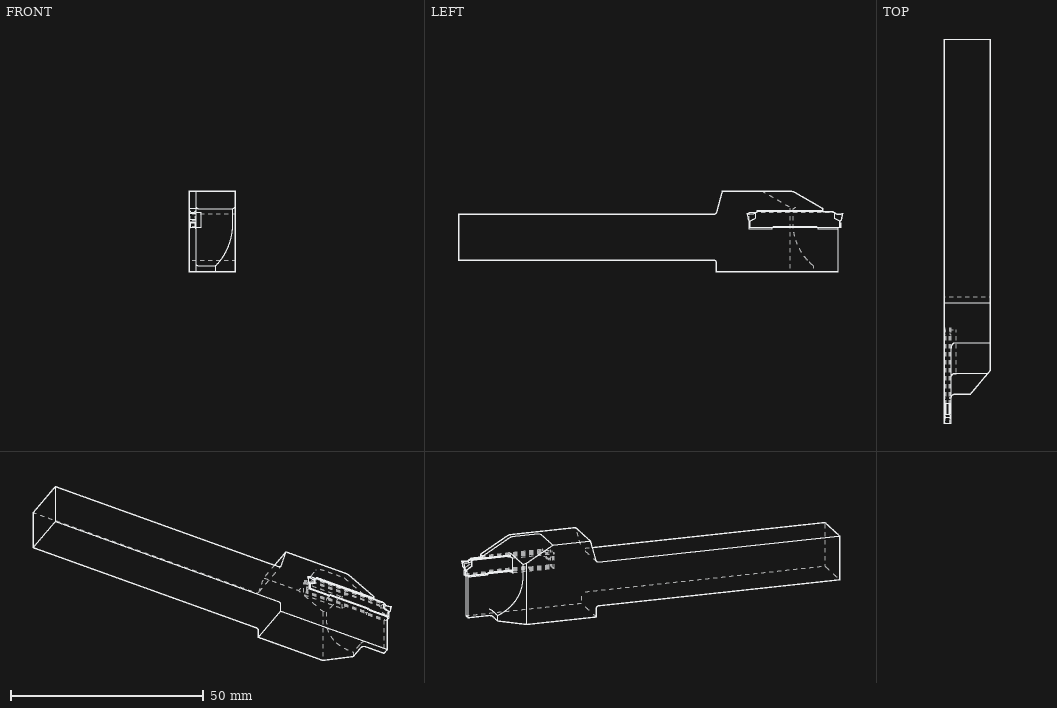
import cadquery as cq
import math


total_length = 100.0
width = 12.0
height = 21.0
shank_height = 12.0
shank_bottom = 3.0
shank_top = shank_bottom + shank_height
head_back = 33.0
head_back_lean = 15.0
head_back_fillet = 0.8
step_fillet = 0.5
blade_thickness = 1.8
blade_front = 1.2
nose_front = 5.2
nose_top = 16.5
nose_slope = 30.0
brow_fillet = 2.4

relief_back = 21.0
relief_wall = 13.0
relief_toe = 7.6
relief_toe_height = 1.5
relief_arc_top = 12.8
relief_fillet = 0.9
corner_cut_start = 13.8
corner_cut_angle = 40.0

insert_length = 24.9
insert_bottom = 11.5
insert_top = 15.7
tip_height = 15.2
chip_drop = 0.15
chip_floor = tip_height - chip_drop
rake_end = 0.6
chip_floor_end = 1.6
shoulder_start = 2.6
upper_clearance = (0.2, 14.3)
lower_clearance = (0.3, 13.6)
neck = 0.8
neck_top = 13.0
neck_bottom = 12.9
foot_front = 0.5
foot_top = 12.7
foot_chamfer = 0.3
arch_start = 6.5
arch_ramp = 0.3
arch_rise = 0.3
cheek_depth = 0.25
cheek_back = 2.2
cheek_middle = 14.0
cheek_bottom = 13.2

rail_bevel = 0.3
groove_depth = 0.2
seat_depth = 3.1
tongue_root = insert_top + rail_bevel
groove_floor = insert_top - groove_depth

pick_reach = 0.05
overrun = 5.0


def prism_along_x(outline, start, end):
    """Extrude a closed (Y, Z) outline from X = start to X = end."""
    return cq.Workplane("YZ", origin=(start, 0, 0)).polyline(outline).close().extrude(end - start)


def prism_along_y(outline, start, end):
    """Extrude a closed (X, Z) outline from Y = start to Y = end."""
    return cq.Workplane("XZ", origin=(0, start, 0)).polyline(outline).close().extrude(start - end)


def edge_at(y, z):
    """Selector box around the edge that runs along X at the given Y and Z."""
    return cq.selectors.BoxSelector(
        (-overrun, y - pick_reach, z - pick_reach), (width + overrun, y + pick_reach, z + pick_reach)
    )


def holder_blank():
    head_top_back = head_back - (height - shank_top) * math.tan(math.radians(head_back_lean))
    brow = nose_front + (height - nose_top) / math.tan(math.radians(nose_slope))
    outline = [
        (blade_front, 0),
        (head_back, 0),
        (head_back, shank_bottom),
        (total_length, shank_bottom),
        (total_length, shank_top),
        (head_back, shank_top),
        (head_top_back, height),
        (brow, height),
        (nose_front, nose_top),
        (nose_front, insert_bottom),
        (blade_front, insert_bottom),
    ]
    blank = prism_along_x(outline, 0, width)
    blank = blank.edges(edge_at(head_back, shank_top)).fillet(head_back_fillet)
    blank = blank.edges(edge_at(head_back, shank_bottom)).fillet(step_fillet)
    return blank.edges(edge_at(brow, height)).fillet(brow_fillet)


def head_relief():
    wall_top = height - (relief_back - relief_wall) * math.tan(math.radians(nose_slope))
    run = relief_wall - relief_toe
    drop = relief_arc_top - relief_toe_height
    radius = (run**2 + drop**2) / (2 * run)
    half_angle = math.asin(drop / radius) / 2
    arc_middle = (
        relief_wall - radius * (1 - math.cos(half_angle)),
        relief_arc_top - radius * math.sin(half_angle),
    )
    slope = (height - wall_top) / (relief_back - relief_wall)
    relief = (
        cq.Workplane("YZ", origin=(blade_thickness, 0, 0))
        .moveTo(relief_back + overrun, height + overrun * slope)
        .lineTo(relief_wall, wall_top)
        .lineTo(relief_wall, relief_arc_top)
        .threePointArc(arc_middle, (relief_toe, relief_toe_height))
        .lineTo(relief_toe, -overrun)
        .lineTo(-overrun, -overrun)
        .lineTo(-overrun, height + overrun * slope)
        .close()
        .extrude(width)
    )
    back_edges = cq.selectors.BoxSelector(
        (blade_thickness - pick_reach, relief_toe - pick_reach, -overrun),
        (blade_thickness + pick_reach, relief_back + overrun, height),
    )
    return relief.edges("<X").edges(back_edges).fillet(relief_fillet)


def corner_cut():
    reach = corner_cut_start - relief_toe
    inset = reach * math.tan(math.radians(corner_cut_angle))
    return (
        cq.Workplane("XY")
        .polyline([(width, corner_cut_start), (width, relief_toe), (width - inset, relief_toe)])
        .close()
        .extrude(height)
    )


def insert_blank():
    """Full-width insert: a symmetric side outline with a bevelled groove along its top."""
    front_end = [
        (arch_start + arch_ramp, insert_bottom + arch_rise),
        (arch_start, insert_bottom),
        (foot_front, insert_bottom),
        (foot_front, foot_top),
        (neck, neck_bottom),
        (neck, neck_top),
        lower_clearance,
        upper_clearance,
        (0, tip_height),
        (rake_end, chip_floor),
        (chip_floor_end, chip_floor),
        (shoulder_start, insert_top),
    ]
    back_end = [(insert_length - y, z) for y, z in reversed(front_end)]
    groove = [
        (rail_bevel, insert_top),
        (rail_bevel + groove_depth, groove_floor),
        (blade_thickness - rail_bevel - groove_depth, groove_floor),
        (blade_thickness - rail_bevel, insert_top),
    ]
    blank = prism_along_x(front_end + back_end, 0, blade_thickness)
    return blank.cut(prism_along_y(groove, 0, insert_length))


def seat_bevel(start, end, seat_z, root_z):
    """Bevel cutters for both edges of a seat face, from the face at seat_z to the sides at root_z."""
    flat_side = [(0, seat_z), (rail_bevel, seat_z), (0, root_z)]
    far_side = [(blade_thickness - x, z) for x, z in flat_side]
    return prism_along_y(flat_side, start, end).add(prism_along_y(far_side, start, end)).combine()


def insert_seat():
    seat_back = insert_length - foot_front
    clearance = (
        cq.Workplane("XY")
        .box(seat_depth - blade_thickness, seat_back, groove_floor - insert_bottom, centered=False)
        .translate((blade_thickness, 0, insert_bottom))
    )
    back_pocket = (
        cq.Workplane("XY")
        .box(seat_depth, shoulder_start - foot_front, groove_floor - insert_bottom, centered=False)
        .translate((0, insert_length - shoulder_start, insert_bottom))
    )
    seat = insert_blank().union(clearance).union(back_pocket)
    seat = seat.union(seat_bevel(nose_front, insert_length - shoulder_start, insert_top, tongue_root))
    arch_end = insert_length - arch_start
    floor_spans = [
        (foot_front, arch_start, insert_bottom),
        (arch_start, arch_end, insert_bottom + arch_rise),
        (arch_end, seat_back, insert_bottom),
    ]
    for start, end, floor in floor_spans:
        seat = seat.union(seat_bevel(start, end, floor, floor - rail_bevel))
    return seat


def cheek_relief():
    """Wedges that thin both sides of the front tip behind its cutting edge."""
    cheek = [
        (0, tip_height),
        (cheek_back, tip_height),
        (cheek_back, cheek_middle),
        (neck, cheek_bottom),
        (0, cheek_bottom),
    ]
    region = prism_along_x(cheek, 0, blade_thickness)
    wedge = [(0, rake_end), (0, cheek_back), (cheek_depth, cheek_back)]
    far_wedge = [(blade_thickness - x, y) for x, y in wedge]
    wedges = cq.Workplane("XY").polyline(wedge).close().polyline(far_wedge).close().extrude(height)
    return region.intersect(wedges)


def turned_end_for_end(shape):
    return shape.rotate(
        (blade_thickness / 2, insert_length / 2, 0), (blade_thickness / 2, insert_length / 2, 1), 180
    )


def make_holder():
    return holder_blank().cut(head_relief()).cut(corner_cut()).cut(insert_seat())


def make_insert():
    insert = insert_blank()
    for foot in (foot_front, insert_length - foot_front):
        corners = cq.selectors.BoxSelector(
            (-overrun, foot - pick_reach, insert_bottom),
            (blade_thickness + overrun, foot + pick_reach, foot_top),
        )
        insert = insert.edges("|Z").edges(corners).chamfer(foot_chamfer)
    front_cheeks = cheek_relief()
    return insert.cut(front_cheeks).cut(turned_end_for_end(front_cheeks))


holder = make_holder()
insert = make_insert()
result = cq.Compound.makeCompound([holder.solids().val(), insert.solids().val()])